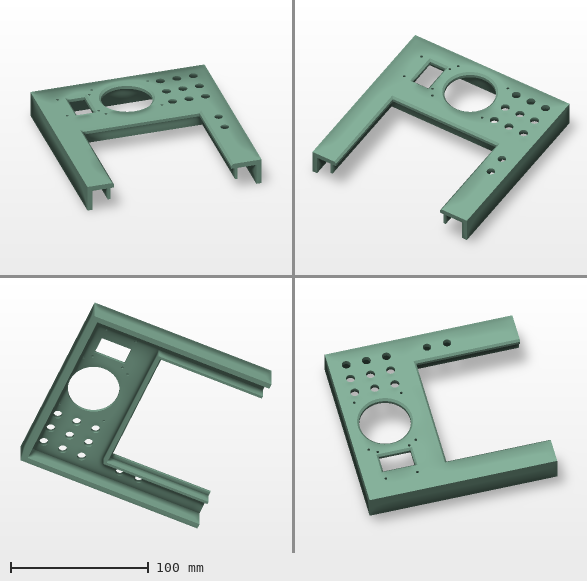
import cadquery as cq

LENGTH = 140.5
WIDTH = 132.2
HEIGHT = 20.0
PLATE = 4.0
WALL = 4.0
BEVEL = 1.5

LEFT = -LENGTH / 2
RIGHT = LENGTH / 2
FRONT = -WIDTH / 2
BACK = WIDTH / 2
PLATE_BOTTOM = HEIGHT - PLATE

BAY_LEFT = LEFT + 62.7
BAY_FRONT = FRONT + 20.2
BAY_BACK = BACK - 23.0
LIP_OVERHANG = 3.0
BAY_WALL = 2.0
BAY_WALL_DEPTH = 9.3

COLUMN_X = LEFT + 28.0
DIAL_Y = BACK - 67.6
DIAL_DIAMETER = 37.5
DIAL_SCREWS_X = 35.3
DIAL_SCREWS_Y = 42.6

SWITCH_Y = FRONT + 29.6
SWITCH_LENGTH = 23.7
SWITCH_WIDTH = 13.0
SWITCH_SCREWS_Y = FRONT + 27.7
SWITCH_SCREW_PITCH_X = 23.6
SWITCH_SCREW_PITCH_Y = 24.2
SCREW_DIAMETER = 2.0

BUTTON_DIAMETER = 6.5
BUTTON_COUNT = 3
BUTTON_PITCH_X = 15.0
BUTTON_PITCH_Y = 12.5
BUTTON_Y = BACK - 25.0
LAMP_DIAMETER = 6.0
LAMP_PITCH = 15.0
LAMP_X = LEFT + 81.0
LAMP_Y = BACK - 12.0


def block(x_min, x_max, y_min, y_max, z_min, z_max):
    """Axis-aligned block between the given limits."""
    size = (x_max - x_min, y_max - y_min, z_max - z_min)
    return cq.Workplane("XY").box(*size, centered=False).translate((x_min, y_min, z_min))


def bay_block(margin, z_min, z_max):
    """Block over the bay, grown by margin into the three sides and open at +X."""
    return block(BAY_LEFT - margin, RIGHT, BAY_FRONT - margin, BAY_BACK + margin, z_min, z_max)


def top_face(x, y):
    """Work plane on top of the plate, centred on (x, y)."""
    return cq.Workplane("XY", origin=(x, y, HEIGHT))


def hole_grid(x, y, pitch_x, pitch_y, count_x, count_y, diameter):
    """Grid of round cutters through the plate, centred on (x, y)."""
    return (
        top_face(x, y)
        .rarray(pitch_x, pitch_y, count_x, count_y)
        .circle(diameter / 2)
        .extrude(-HEIGHT)
    )


shell = block(LEFT, RIGHT, FRONT, BACK, 0, HEIGHT)
shell = shell.cut(block(LEFT + WALL, RIGHT, FRONT + WALL, BACK - WALL, 0, PLATE_BOTTOM))
bay_wall = bay_block(LIP_OVERHANG + BAY_WALL, PLATE_BOTTOM - BAY_WALL_DEPTH, PLATE_BOTTOM)
shell = shell.union(bay_wall)

shell = shell.cut(bay_block(0, PLATE_BOTTOM, HEIGHT))
shell = shell.cut(bay_block(LIP_OVERHANG, 0, PLATE_BOTTOM))

shell = shell.cut(top_face(COLUMN_X, DIAL_Y).circle(DIAL_DIAMETER / 2).extrude(-HEIGHT))
shell = shell.cut(top_face(COLUMN_X, SWITCH_Y).rect(SWITCH_LENGTH, SWITCH_WIDTH).extrude(-HEIGHT))

inside_outline = cq.selectors.BoxSelector(
    (LEFT + WALL, FRONT + WALL, PLATE_BOTTOM),
    (RIGHT - WALL, BACK - WALL, HEIGHT + PLATE),
)
shell = shell.faces(">Z").edges(inside_outline).chamfer(BEVEL)

shell = shell.cut(hole_grid(COLUMN_X, DIAL_Y, DIAL_SCREWS_X, DIAL_SCREWS_Y, 2, 2, SCREW_DIAMETER))
shell = shell.cut(
    hole_grid(
        COLUMN_X, SWITCH_SCREWS_Y, SWITCH_SCREW_PITCH_X, SWITCH_SCREW_PITCH_Y, 2, 2, SCREW_DIAMETER
    )
)
shell = shell.cut(
    hole_grid(
        COLUMN_X, BUTTON_Y, BUTTON_PITCH_X, BUTTON_PITCH_Y, BUTTON_COUNT, BUTTON_COUNT, BUTTON_DIAMETER
    )
)
shell = shell.cut(hole_grid(LAMP_X, LAMP_Y, LAMP_PITCH, LAMP_PITCH, 2, 1, LAMP_DIAMETER))

result = shell